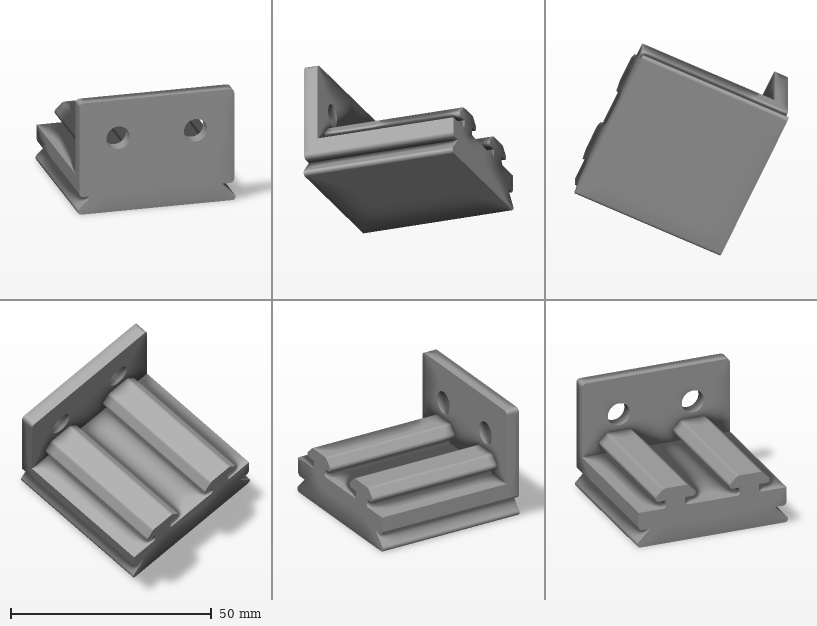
import cadquery as cq

length = 40.0
body_width = 40.0
overall_width = 40.75
overall_height = 29.53

foot_height = 4.65
floor_height = 9.55
base_corner_radius = 1.0
tip_radius = 0.8
tip_loss = tip_radius * 2 ** 0.5

rail_spacing = 20.0
neck_width = 5.0
neck_top = 11.7
neck_root_radius = 0.85
head_top = 15.0
head_width = 10.85
head_corner_radius = 1.22

plate_thickness = 3.62
plate_corner_radius = 1.0
hole_diameter = 6.0
hole_height = 19.5


def extrude_profile(points, start, distance):
    """Extrude a closed Y-Z outline along X."""
    return cq.Workplane("YZ", origin=(start, 0, 0)).polyline(points).close().extrude(distance)


def make_block(width, bottom, top, start, distance):
    """Box centred on Y between two heights."""
    half = width / 2
    return extrude_profile([(-half, bottom), (half, bottom), (half, top), (-half, top)], start, distance)


def make_foot():
    """Dovetail foot with 45 degree flanks and rounded tips."""
    sharp_half = overall_width / 2 + tip_loss
    top_half = sharp_half - foot_height
    points = [(-sharp_half, 0), (sharp_half, 0), (top_half, foot_height), (-top_half, foot_height)]
    return extrude_profile(points, 0, length).edges("|X and <Z").fillet(tip_radius)


def make_base():
    """Flat base with rounded lower corners."""
    base = make_block(body_width, foot_height, floor_height, 0, length)
    return base.edges("|X and <Z").fillet(base_corner_radius)


def make_root_fillet(side, distance):
    """Concave fillet strip between the floor and one side of a rail neck."""
    neck_face = side * neck_width / 2
    toe = neck_face + side * neck_root_radius
    arc_top = floor_height + neck_root_radius
    bulge = neck_root_radius * (1 - 0.5 ** 0.5)
    return (
        cq.Workplane("YZ")
        .moveTo(neck_face, floor_height)
        .lineTo(toe, floor_height)
        .threePointArc((neck_face + side * bulge, floor_height + bulge), (neck_face, arc_top))
        .close()
        .extrude(distance)
    )


def make_rail(y):
    """T-rail with a filleted neck root and a bevelled, rounded head."""
    rail_length = length - plate_thickness
    neck = make_block(neck_width, floor_height, neck_top, 0, rail_length)
    neck = neck.union(make_root_fillet(1, rail_length)).union(make_root_fillet(-1, rail_length))
    sharp_half = head_width / 2 + tip_loss
    top_half = sharp_half - (head_top - neck_top)
    head = extrude_profile(
        [(-sharp_half, neck_top), (sharp_half, neck_top), (top_half, head_top), (-top_half, head_top)],
        0,
        rail_length,
    )
    head = head.edges("|X and <Z").fillet(tip_radius)
    head = head.edges("|X and >Z").fillet(head_corner_radius)
    return neck.union(head).translate((0, y, 0))


def make_plate():
    """Upright end plate with two through holes, one above each rail."""
    plate_start = length - plate_thickness
    plate = make_block(body_width, floor_height, overall_height, plate_start, plate_thickness)
    plate = plate.edges("|X and >Z").fillet(plate_corner_radius)
    holes = (
        cq.Workplane("YZ", origin=(plate_start, 0, hole_height))
        .rarray(rail_spacing, 0.4, 2, 1)
        .circle(hole_diameter / 2)
        .extrude(plate_thickness)
    )
    return plate.cut(holes)


result = make_foot().union(make_base()).union(make_plate())
for side in (-1, 1):
    result = result.union(make_rail(side * rail_spacing / 2))